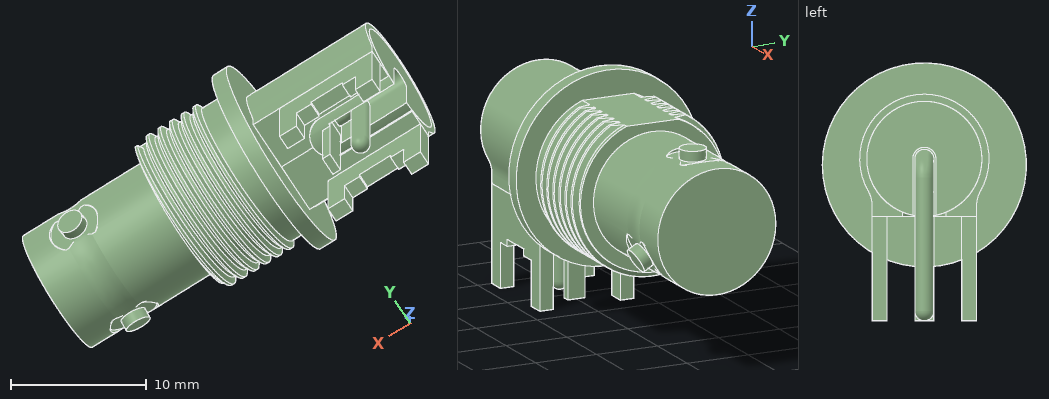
import cadquery as cq
import math


overall_length = 30.0
flange_rear = 10.4
flange_front = 11.67
thread_end = 19.15

flange_diameter = 15.05
flange_axis_z = 0.05
thread_core_diameter = 11.82
snout_diameter = 9.7
flat_height = 5.52

thread_pitch = 1.02
thread_crest_diameter = 12.7
thread_crest_width = 0.25
thread_half_angle = 30.0
thread_root_overlap = 0.05
thread_start = 13.08
thread_length = 6.0
thread_start_angle = 129.0

lug_count = 3
lug_position = 25.95
lug_diameter = 2.0
lug_tip_radius = 5.4
spotface_diameter = 4.02
spotface_radius = 4.6
groove_depth = 0.12

barrel_axis_z = 0.5
barrel_diameter = 9.55
insulator_diameter = 8.5
foot_width = 7.7
foot_fillet = 2.1
foot_opening_width = 3.2

pin_diameter = 1.4
pin_position = 3.48
pin_bend_radius = 1.4
slot_width = 1.7
prong_rear = 5.7
prong_thickness = 0.65
prong_width = pin_diameter
prong_embedment = 1.8

tip_z = -11.43
plate_thickness = 1.1
plate_length = 8.1
plate_leg_width = 1.47
plate_notch_z = -7.9
plate_relief_z = -7.35
plate_relief_rear = 2.6
plate_relief_front = 5.35

barrel_radius = barrel_diameter / 2
insulator_radius = insulator_diameter / 2
snout_radius = snout_diameter / 2
pin_radius = pin_diameter / 2
foot_bottom_z = barrel_axis_z - insulator_radius
prong_center = prong_rear + prong_thickness / 2


def rod(x_start, x_end, diameter, axis_z=0.0):
    """Cylinder along X."""
    plane = cq.Workplane("YZ", origin=(x_start, 0, axis_z))
    return plane.circle(diameter / 2).extrude(x_end - x_start)


def block(x_start, x_end, width, z_bottom, z_top, y_center=0.0):
    """Box given by its X range, its Y width and its Z range."""
    size = (x_end - x_start, width, z_top - z_bottom)
    box = cq.Workplane("XY").box(*size, centered=(False, True, False))
    return box.translate((x_start, y_center, z_bottom))


def around_axis(shape):
    """Copies of a shape at the angles of the bayonet lugs."""
    return [shape.rotate((0, 0, 0), (1, 0, 0), i * 360 / lug_count) for i in range(lug_count)]


def make_thread():
    """Helical ridge, wound along Z and then turned onto the X axis."""
    crest_radius = thread_crest_diameter / 2
    root_radius = thread_core_diameter / 2 - thread_root_overlap
    flank = (crest_radius - root_radius) * math.tan(math.radians(thread_half_angle))
    half_crest = thread_crest_width / 2
    half_root = half_crest + flank
    helix = cq.Wire.makeHelix(thread_pitch, thread_length, root_radius)
    ridge = (
        cq.Workplane("XZ")
        .moveTo(root_radius, -half_root)
        .lineTo(crest_radius, -half_crest)
        .lineTo(crest_radius, half_crest)
        .lineTo(root_radius, half_root)
        .close()
        .sweep(cq.Workplane(helix), isFrenet=True)
    )
    ridge = ridge.rotate((0, 0, 0), (0, 1, 0), 90)
    ridge = ridge.rotate((0, 0, 0), (1, 0, 0), thread_start_angle)
    return ridge.translate((thread_start, 0, 0))


def make_threaded_section():
    """Threaded core, trimmed to its length and to the flat on top."""
    envelope = block(flange_front, thread_end, flange_diameter, -flange_diameter / 2, flat_height)
    core = rod(flange_front, thread_end, thread_core_diameter).intersect(envelope)
    return core.union(make_thread().intersect(envelope))


def make_snout():
    """Mating sleeve with a shallow round-bottomed groove and a spotface under each lug."""
    snout = rod(thread_end, overall_length, snout_diameter)
    half_width = lug_diameter / 2
    groove = (
        cq.Workplane("XY")
        .moveTo(lug_position - half_width, snout_radius)
        .threePointArc(
            (lug_position, snout_radius - groove_depth),
            (lug_position + half_width, snout_radius),
        )
        .close()
        .revolve(360, (0, 0, 0), (1, 0, 0))
    )
    snout = snout.cut(groove)
    spotface = (
        cq.Workplane("XY", origin=(lug_position, 0, spotface_radius))
        .circle(spotface_diameter / 2)
        .extrude(snout_radius - spotface_radius)
    )
    for cutter in around_axis(spotface):
        snout = snout.cut(cutter)
    return snout


def make_barrel():
    """Rear tube on a foot whose sides run into the tube with concave fillets."""
    half_width = foot_width / 2
    fillet_y = half_width + foot_fillet
    center_distance = barrel_radius + foot_fillet
    fillet_drop = math.sqrt(center_distance**2 - fillet_y**2)
    tangent_ratio = barrel_radius / center_distance
    tangent_y = fillet_y * tangent_ratio
    tangent_z = -fillet_drop * tangent_ratio
    middle_angle = (math.pi + math.atan2(fillet_drop, -fillet_y)) / 2
    middle_y = fillet_y + foot_fillet * math.cos(middle_angle)
    middle_z = -fillet_drop + foot_fillet * math.sin(middle_angle)
    outline = (
        cq.Workplane("YZ", origin=(0, 0, barrel_axis_z))
        .moveTo(-half_width, -insulator_radius)
        .lineTo(half_width, -insulator_radius)
        .lineTo(half_width, -fillet_drop)
        .threePointArc((middle_y, middle_z), (tangent_y, tangent_z))
        .threePointArc((0, barrel_radius), (-tangent_y, tangent_z))
        .threePointArc((-middle_y, middle_z), (-half_width, -fillet_drop))
        .close()
    )
    barrel = outline.extrude(flange_rear)
    bore = rod(0, flange_rear, insulator_diameter, barrel_axis_z)
    return barrel.cut(bore).cut(make_foot_opening())


def make_foot_opening():
    """Round-ended opening in the foot, where the contacts come out."""
    straight = block(0, prong_center, foot_opening_width, foot_bottom_z, barrel_axis_z)
    rounded_end = (
        cq.Workplane("XY", origin=(prong_center, 0, foot_bottom_z))
        .circle(foot_opening_width / 2)
        .extrude(insulator_radius)
    )
    return straight.union(rounded_end)


def make_housing():
    flange = rod(flange_rear, flange_front, flange_diameter, flange_axis_z)
    return make_barrel().union(flange).union(make_threaded_section()).union(make_snout())


def make_lug():
    """Bayonet lug standing on its spotface, pointing along +Z."""
    return (
        cq.Workplane("XY", origin=(lug_position, 0, spotface_radius))
        .circle(lug_diameter / 2)
        .extrude(lug_tip_radius - spotface_radius)
    )


def make_pin():
    """Centre contact bent down through a right angle, with a hemispherical tip."""
    bend_start = pin_position + pin_bend_radius
    bend_end_z = barrel_axis_z - pin_bend_radius
    tip_center_z = tip_z + pin_radius
    bend_offset = pin_bend_radius * math.sqrt(0.5)
    path = (
        cq.Workplane("XZ")
        .moveTo(pin_position, tip_center_z)
        .lineTo(pin_position, bend_end_z)
        .threePointArc(
            (bend_start - bend_offset, bend_end_z + bend_offset),
            (bend_start, barrel_axis_z),
        )
        .lineTo(flange_rear, barrel_axis_z)
    )
    shank = cq.Workplane("XY", origin=(pin_position, 0, tip_center_z)).circle(pin_radius).sweep(path)
    tip = cq.Workplane("XY").sphere(pin_radius).translate((pin_position, 0, tip_center_z))
    return shank.union(tip)


def make_prong():
    """Flat-ended outer contact in front of the pin."""
    prong_top = foot_bottom_z + prong_embedment
    return block(prong_rear, prong_rear + prong_thickness, prong_width, tip_z, prong_top)


def make_insulator(pin, prong):
    """Insulator filling the barrel, slotted for the pin and pocketed for the prong."""
    body = rod(0, flange_rear, insulator_diameter, barrel_axis_z)
    slot = block(0, prong_rear, slot_width, foot_bottom_z, barrel_axis_z)
    slot = slot.union(rod(0, prong_rear, slot_width, barrel_axis_z))
    return body.cut(slot).cut(pin).cut(prong)


def make_plate(side):
    """Mounting plate with two legs and a stepped notch; side is -1 or +1 along Y."""
    y_center = side * (foot_width - plate_thickness) / 2
    plate = block(0, plate_length, plate_thickness, tip_z, foot_bottom_z, y_center)
    notch_front = plate_length - plate_leg_width
    notch = block(plate_leg_width, notch_front, plate_thickness, tip_z, plate_notch_z, y_center)
    relief = block(
        plate_relief_rear, plate_relief_front, plate_thickness, tip_z, plate_relief_z, y_center
    )
    return plate.cut(notch).cut(relief)


housing = make_housing()
pin = make_pin()
prong = make_prong()
insulator = make_insulator(pin, prong)
lugs = around_axis(make_lug())
plates = [make_plate(side) for side in (-1, 1)]

result = cq.Compound.makeCompound([
    housing.solids().val(),
    insulator.solids().val(),
    pin.solids().val(),
    prong.val(),
    *[lug.val() for lug in lugs],
    *[plate.solids().val() for plate in plates],
])